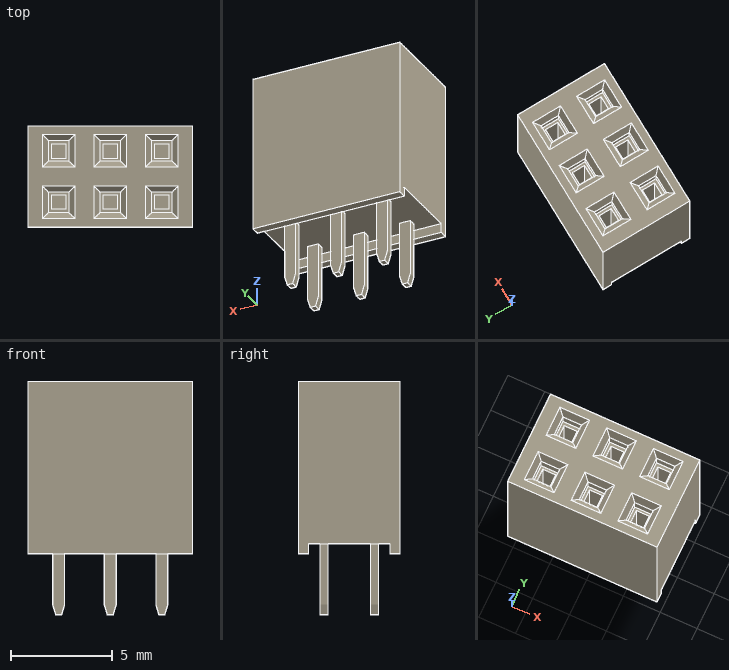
import cadquery as cq

length = 8.12
width = 5.0
total_height = 11.5
pin_reach = 3.0

foot_thickness = 0.5
foot_height = 0.5

pitch = 2.54
contact_row_pitch = 2.5
columns = 3
rows = 2

pin_width = 0.6
pin_thickness = 0.4
tip_width = 0.3
tip_height = 0.5

funnel_width = 1.61
entry_width = 1.0
contact_width = 0.7
funnel_depth = (funnel_width - entry_width) / 2
ledge_depth = 1.0
socket_depth = 5.0

housing_bottom = pin_reach
channel_top = housing_bottom + foot_height


def square_pocket(side, depth):
    """Square block reaching down from the top face."""
    return (
        cq.Workplane("XY")
        .workplane(offset=total_height)
        .rect(side, side)
        .extrude(-depth)
    )


def make_housing():
    """Block with a channel running the full length of its underside."""
    block = cq.Workplane("XY").box(
        length, width, total_height - housing_bottom, centered=(True, True, False)
    )
    channel = cq.Workplane("XY").box(
        length, width - 2 * foot_thickness, foot_height, centered=(True, True, False)
    )
    return block.cut(channel).translate((0, 0, housing_bottom))


def make_socket_mouth():
    """Funnel and entry removed from the top of the housing for one socket."""
    funnel = (
        cq.Workplane("XY")
        .workplane(offset=total_height)
        .rect(funnel_width, funnel_width)
        .workplane(offset=-funnel_depth)
        .rect(entry_width, entry_width)
        .loft(ruled=True)
    )
    return funnel.union(square_pocket(entry_width, ledge_depth))


def make_pin():
    """Flat pin from its tip up to the channel ceiling."""
    outline = [
        (-tip_width / 2, 0),
        (tip_width / 2, 0),
        (pin_width / 2, tip_height),
        (pin_width / 2, channel_top),
        (-pin_width / 2, channel_top),
        (-pin_width / 2, tip_height),
    ]
    return cq.Workplane("XZ").polyline(outline).close().extrude(pin_thickness / 2, both=True)


socket_mouth = make_socket_mouth()
contact_bore = square_pocket(contact_width, socket_depth)
pin = make_pin()
result = make_housing()

for column in range(columns):
    x = (column - (columns - 1) / 2) * pitch
    for row in range(rows):
        rows_from_center = row - (rows - 1) / 2
        socket_y = rows_from_center * pitch
        contact_y = rows_from_center * contact_row_pitch
        result = result.cut(socket_mouth.translate((x, socket_y, 0)))
        result = result.cut(contact_bore.translate((x, contact_y, 0)))
        result = result.union(pin.translate((x, contact_y, 0)))